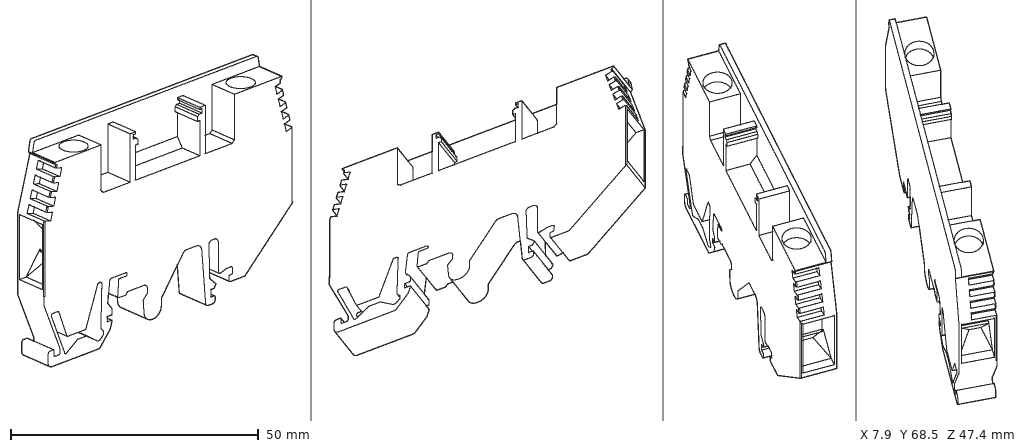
import cadquery as cq
import math

THICKNESS = 7.9
LENGTH = 68.5
HEIGHT = 47.4
HALF_LENGTH = LENGTH / 2

PLATE_THICKNESS = 1.2
BODY_TOP = 44.95

LIP_HALF_LENGTH = 31.3
LIP_EDGE = 44.8
LIP_BOTTOM = 44.25
SLOPE_TOP_HALF_LENGTH = 30.9
SLOPE_BOTTOM = 32.3
END_BOTTOM = 16.2
END_CHAMFER = 0.2
SLOT_ROOF = 14.6

SCREW_X = 4.5
SCREW_Y = 23.0
SCREW_DIAMETER = 5.9
SCREW_DEPTH = 2.9

POCKETS_CENTRE_Y = -0.2
POCKET_FLOOR = 34.25
BLOCK_INNER_Y = 18.35
BLOCK_FOOT_CHAMFER = 0.6
CENTRE_RAMP_WIDTH = 1.45
CENTRE_RAMP_HEIGHT = 2.05

SNAP_OUTER_Y = 10.35
SNAP_THICKNESS = 1.5
SNAP_LIP_HEIGHT = 0.5
SNAP_RECESS_DEPTH = 0.6
SNAP_RECESS_HEIGHT = 0.95
SNAP_RIB_DEPTH = 0.6
SNAP_RIB_HEIGHT = 1.5
SNAP_RIB_CHAMFER = 0.4

GROOVE_COUNT = 4
GROOVE_PITCH = 3.0
GROOVE_WIDTH = 1.85
GROOVE_DEPTH = 1.7
GROOVE_START_X = 2.7
FIRST_GROOVE_Z = 42.75

ENTRY_LEFT_X = 0.55
ENTRY_RIGHT_X = 7.3
ENTRY_TOP = 31.9
ENTRY_BOTTOM = 17.55
MOUTH_DEPTH = 1.85
ENTRY_DEPTH = 5.8
BACK_TOP = 27.1
BACK_LEFT_X = 1.1
FUNNEL_DEPTH = 5.2
FUNNEL_TOP = 22.3
THROAT_Z = 21.3
THROAT_LEFT_X = 3.2
THROAT_RIGHT_X = 5.7
LEFT_FACET_TOP = 23.2

END_CORNERS = [
    (30.8, HEIGHT, 0.55),
    (LIP_HALF_LENGTH, LIP_EDGE, 0),
    (SLOPE_TOP_HALF_LENGTH, LIP_BOTTOM, 0),
    (HALF_LENGTH, SLOPE_BOTTOM, 0),
]
FIXED_FOOT = [
    (HALF_LENGTH, END_BOTTOM, 0),
    (21.0, 3.85, 0.5),
    (16.65, 3.85, 0.4),
    (16.65, 5.35, 0.2),
    (17.6, 5.35, 0.35),
    (17.6, 7.05, 0.4),
    (15.9, 7.05, 0.35),
    (14.45, 6.6, 0.35),
    (13.7, 6.6, 0.4),
]
HOOK_ARM = [
    (13.7, SLOT_ROOF, 1.0),
    (11.1, SLOT_ROOF, 0.8),
    (11.4, 6.2, 0.35),
    (13.1, 4.6, 0.2),
    (12.6, 3.7, 0.3),
    (11.7, 3.7, 0),
    (11.7, 2.05, 0),
    (12.9, 2.05, 0.35),
    (12.9, 0.4, 0.75),
    (10.3, 0.4, 0.75),
    (9.05, SLOT_ROOF, 1.5),
]
ROUND_FOOT = [
    (4.4, SLOT_ROOF, 1.2),
    (-1.9, 5.95, 0.2),
    (-1.9, 2.05, 2.4),
    (-6.6, 2.05, 2.25),
    (-7.0, 7.05, 0.2),
    (-5.8, 8.3, 0.35),
    (-5.8, 10.3, 0.95),
    (-11.3, 10.3, 0.35),
    (-11.8, 9.65, 0.15),
    (-14.05, 9.65, 0.35),
    (-13.7, 13.85, 0.2),
    (-11.45, 13.85, 0.35),
    (-11.45, SLOT_ROOF, 0.35),
]
SPRING_FOOT = [
    (-16.2, SLOT_ROOF, 0.55),
    (-16.7, 9.3, 0.35),
    (-15.55, 7.8, 0.35),
    (-15.55, 6.45, 0.2),
    (-16.85, 6.45, 0),
    (-16.85, 5.3, 0),
    (-15.5, 5.3, 0.15),
    (-16.0, 3.4, 1.4),
    (-19.0, 0, 0.7),
    (-33.15, 0, 1.0),
    (-33.15, 3.6, 0.6),
    (-31.5, 3.6, 0.2),
    (-31.5, 2.05, 0.2),
    (-29.9, 2.05, 0.5),
    (-29.9, 3.3, 0.2),
    (-HALF_LENGTH, 14.05, 0.55),
]
SPRING_OPENING = [
    (-18.35, SLOT_ROOF, 0.4),
    (-19.45, SLOT_ROOF, 0.3),
    (-22.8, 5.4, 0.3),
    (-27.95, 5.4, 0.3),
    (-30.3, 11.7, 0.35),
    (-32.5, 11.7, 0.35),
    (-28.4, 1.6, 0.3),
    (-25.1, 3.9, 0.55),
    (-22.5, 3.9, 0.55),
    (-19.25, 1.65, 0.7),
    (-17.95, 2.75, 0.35),
    (-17.95, 3.55, 0.35),
    (-18.6, 4.4, 0.2),
]


def rounded_outline(corners):
    """Closed outline in the YZ plane; each corner is rounded by a tangent arc of its radius."""
    stretches = []
    for index, (y, z, radius) in enumerate(corners):
        corner = cq.Vector(y, z)
        before = cq.Vector(*corners[index - 1][:2])
        after = cq.Vector(*corners[(index + 1) % len(corners)][:2])
        if radius == 0:
            stretches.append([corner])
            continue
        to_before = (before - corner).normalized()
        to_after = (after - corner).normalized()
        half_angle = to_before.getAngle(to_after) / 2
        setback = radius / math.tan(half_angle)
        to_centre = (to_before + to_after).normalized()
        middle = corner + to_centre * (radius / math.sin(half_angle) - radius)
        stretches.append([corner + to_before * setback, middle, corner + to_after * setback])

    outline = cq.Workplane("YZ").moveTo(stretches[0][-1].x, stretches[0][-1].y)
    for stretch in stretches[1:] + stretches[:1]:
        outline = outline.lineTo(stretch[0].x, stretch[0].y)
        if len(stretch) > 1:
            outline = outline.threePointArc((stretch[1].x, stretch[1].y), (stretch[2].x, stretch[2].y))
    return outline.close()


def prism(corners, x_start, x_end):
    """Prism along X over a sharp-cornered YZ outline."""
    return cq.Workplane("YZ", origin=(x_start, 0, 0)).polyline(corners).close().extrude(x_end - x_start)


def at_both_ends(shape):
    """The shape together with its mirror image at the other end."""
    return shape.union(shape.mirror("XZ"))


def about_pockets_centre(shape):
    """The shape and its mirror image, moved to the middle of the row of pockets."""
    return at_both_ends(shape).translate((0, POCKETS_CENTRE_Y, 0))


def block():
    """Full-thickness side outline with the spring opening, lowered beside the plate."""
    far_end = [(-y, z, radius) for y, z, radius in reversed(END_CORNERS)]
    corners = END_CORNERS + FIXED_FOOT + HOOK_ARM + ROUND_FOOT + SPRING_FOOT + far_end
    body = rounded_outline(corners).extrude(THICKNESS)
    opening = rounded_outline(SPRING_OPENING).extrude(THICKNESS)
    above_body = prism(
        [
            (-HALF_LENGTH, BODY_TOP),
            (HALF_LENGTH, BODY_TOP),
            (HALF_LENGTH, HEIGHT),
            (-HALF_LENGTH, HEIGHT),
        ],
        PLATE_THICKNESS,
        THICKNESS,
    )
    return body.cut(opening).cut(above_body)


def end_chamfer():
    """Chamfer strip along the +X edge of one vertical end and the slope above it."""
    stations = [
        (HALF_LENGTH, END_BOTTOM),
        (HALF_LENGTH, SLOPE_BOTTOM),
        (SLOPE_TOP_HALF_LENGTH, LIP_BOTTOM),
    ]
    sections = []
    for y, z in stations:
        corners = [
            cq.Vector(THICKNESS - END_CHAMFER, y, z),
            cq.Vector(THICKNESS, y, z),
            cq.Vector(THICKNESS, y - END_CHAMFER, z),
        ]
        sections.append(cq.Wire.makePolygon(corners, close=True))
    return cq.Workplane(cq.Solid.makeLoft(sections, True))


def side_pocket():
    """Pocket between a screw block and its snap wall, chamfered at the foot of the block."""
    return prism(
        [
            (SNAP_OUTER_Y, POCKET_FLOOR),
            (BLOCK_INNER_Y - BLOCK_FOOT_CHAMFER, POCKET_FLOOR),
            (BLOCK_INNER_Y, POCKET_FLOOR + BLOCK_FOOT_CHAMFER),
            (BLOCK_INNER_Y, BODY_TOP),
            (SNAP_OUTER_Y, BODY_TOP),
        ],
        PLATE_THICKNESS,
        THICKNESS,
    )


def centre_pocket():
    """Pocket between the snap walls, with a ramp at the foot of the plate."""
    half_width = SNAP_OUTER_Y - SNAP_THICKNESS
    return (
        cq.Workplane("XZ", origin=(0, half_width, 0))
        .moveTo(PLATE_THICKNESS, BODY_TOP)
        .lineTo(PLATE_THICKNESS, POCKET_FLOOR + CENTRE_RAMP_HEIGHT)
        .lineTo(PLATE_THICKNESS + CENTRE_RAMP_WIDTH, POCKET_FLOOR)
        .lineTo(THICKNESS, POCKET_FLOOR)
        .lineTo(THICKNESS, BODY_TOP)
        .close()
        .extrude(2 * half_width)
    )


def snap_recess():
    """Undercut below the lip on the centre side of a snap wall."""
    face_y = SNAP_OUTER_Y - SNAP_THICKNESS
    top = BODY_TOP - SNAP_LIP_HEIGHT
    bottom = top - SNAP_RECESS_HEIGHT
    back_y = face_y + SNAP_RECESS_DEPTH
    return prism(
        [(face_y, bottom), (back_y, bottom), (back_y, top), (face_y, top)],
        PLATE_THICKNESS,
        THICKNESS,
    )


def snap_rib():
    """Rib under the recess of a snap wall, chamfered along its top."""
    face_y = SNAP_OUTER_Y - SNAP_THICKNESS
    tip_y = face_y - SNAP_RIB_DEPTH
    top = BODY_TOP - SNAP_LIP_HEIGHT - SNAP_RECESS_HEIGHT
    bottom = top - SNAP_RIB_HEIGHT
    return prism(
        [
            (SNAP_OUTER_Y, bottom),
            (tip_y, bottom),
            (tip_y, top - SNAP_RIB_CHAMFER),
            (tip_y + SNAP_RIB_CHAMFER, top),
            (SNAP_OUTER_Y, top),
        ],
        PLATE_THICKNESS,
        THICKNESS,
    )


def screw_hole():
    """Blind round hole in the top of a screw block."""
    return (
        cq.Workplane("XY", origin=(SCREW_X, SCREW_Y, BODY_TOP - SCREW_DEPTH))
        .circle(SCREW_DIAMETER / 2)
        .extrude(SCREW_DEPTH)
    )


def grip_grooves():
    """Row of grooves down one sloped end, open towards +X."""
    run = HALF_LENGTH - SLOPE_TOP_HALF_LENGTH
    drop = LIP_BOTTOM - SLOPE_BOTTOM
    tilt = math.degrees(math.atan2(run, drop))
    grooves = cq.Workplane()
    for index in range(GROOVE_COUNT):
        groove_z = FIRST_GROOVE_Z - index * GROOVE_PITCH
        face_y = HALF_LENGTH - run * (groove_z - SLOPE_BOTTOM) / drop
        groove = (
            cq.Workplane("XY")
            .box(THICKNESS - GROOVE_START_X, 2 * GROOVE_DEPTH, GROOVE_WIDTH, centered=(False, True, True))
            .rotate((0, 0, 0), (1, 0, 0), tilt)
            .translate((GROOVE_START_X, face_y, groove_z))
        )
        grooves = grooves.add(groove)
    return grooves.combine()


def tetrahedron(corners):
    """Solid with four triangular faces between four corners."""
    points = [cq.Vector(*corner) for corner in corners]
    faces = []
    for left_out in range(len(points)):
        triangle = points[:left_out] + points[left_out + 1 :]
        faces.append(cq.Face.makeFromWires(cq.Wire.makePolygon(triangle, close=True)))
    return cq.Solid.makeSolid(cq.Shell.makeShell(faces))


def entry_section(y, left_x, top):
    """Upright rectangle across the wire entry at one depth."""
    right_x = ENTRY_RIGHT_X
    corners = [(left_x, ENTRY_BOTTOM), (right_x, ENTRY_BOTTOM), (right_x, top), (left_x, top)]
    return cq.Wire.makePolygon([cq.Vector(x, y, z) for x, z in corners], close=True)


def wire_entry():
    """Window whose roof and left wall taper inwards, over a floor that rises to a narrow throat."""
    front_y = HALF_LENGTH
    mouth_y = HALF_LENGTH - MOUTH_DEPTH
    throat_y = HALF_LENGTH - FUNNEL_DEPTH
    back_y = HALF_LENGTH - ENTRY_DEPTH

    front = entry_section(front_y, ENTRY_LEFT_X, ENTRY_TOP)
    mouth = entry_section(mouth_y, ENTRY_LEFT_X, ENTRY_TOP)
    back = entry_section(back_y, BACK_LEFT_X, BACK_TOP)
    straight_part = cq.Workplane(cq.Solid.makeLoft([front, mouth], True))
    tapered_part = cq.Workplane(cq.Solid.makeLoft([mouth, back], True))

    floor = prism(
        [
            (mouth_y, ENTRY_BOTTOM),
            (throat_y, THROAT_Z),
            (throat_y, FUNNEL_TOP),
            (back_y, FUNNEL_TOP),
            (back_y, ENTRY_BOTTOM),
        ],
        0,
        THICKNESS,
    )
    right_facet = tetrahedron(
        [
            (ENTRY_RIGHT_X, mouth_y, ENTRY_BOTTOM),
            (THROAT_RIGHT_X, throat_y, THROAT_Z),
            (ENTRY_RIGHT_X, throat_y, FUNNEL_TOP),
            (ENTRY_RIGHT_X, throat_y, THROAT_Z),
        ]
    )
    left_facet = tetrahedron(
        [
            (ENTRY_LEFT_X, mouth_y, ENTRY_BOTTOM),
            (THROAT_LEFT_X, throat_y, THROAT_Z),
            (ENTRY_LEFT_X, throat_y, LEFT_FACET_TOP),
            (ENTRY_LEFT_X, throat_y, THROAT_Z),
        ]
    )
    tapered_part = tapered_part.cut(floor).cut(cq.Workplane(right_facet)).cut(cq.Workplane(left_facet))
    return straight_part.union(tapered_part)


result = (
    block()
    .cut(at_both_ends(end_chamfer()))
    .cut(about_pockets_centre(side_pocket()))
    .cut(about_pockets_centre(centre_pocket()))
    .cut(about_pockets_centre(snap_recess()))
    .union(about_pockets_centre(snap_rib()))
    .cut(at_both_ends(screw_hole()))
    .cut(at_both_ends(grip_grooves()))
    .cut(at_both_ends(wire_entry()))
)